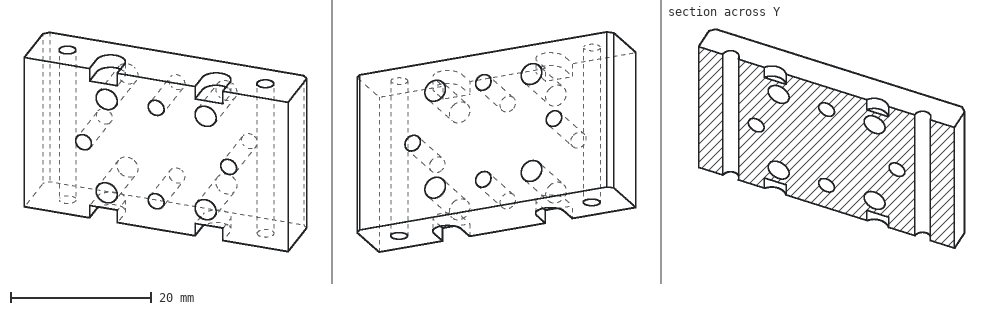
import cadquery as cq

length = 40.0
thickness = 8.5
height = 24.0
back_chamfer = 0.75

front_y = -thickness / 2
top_z = height / 2

large_hole_diameter = 3.2
small_hole_diameter = 2.4
large_hole_pitch = 15.0
small_hole_span_x = 22.0
small_hole_span_z = large_hole_pitch

edge_hole_pitch = 30.0

slot_pitch = 16.0
slot_width = 4.2
slot_reach = 5.1
slot_depth = 2.0


def make_block():
    """Plain block with its two upright back edges chamfered."""
    block = cq.Workplane("XY").box(length, thickness, height)
    return block.faces(">Y").edges("|Z").chamfer(back_chamfer)


def front_holes(diameter, points):
    """Cylinders along Y through the whole thickness, at (x, z) points."""
    plane = cq.Workplane("XZ").pushPoints(points)
    return plane.circle(diameter / 2).extrude(thickness, both=True)


def edge_holes():
    """Cylinders along Z through the whole height, at mid-thickness."""
    plane = cq.Workplane("XY").pushPoints([(-edge_hole_pitch / 2, 0), (edge_hole_pitch / 2, 0)])
    return plane.circle(small_hole_diameter / 2).extrude(height, both=True)


def edge_slot(center_x, floor_z):
    """Slot running back from the front face to a half-round end, rising from floor_z."""
    radius = slot_width / 2
    tip_y = front_y + slot_reach
    return (
        cq.Workplane("XY", origin=(center_x, 0, floor_z))
        .moveTo(-radius, front_y)
        .lineTo(-radius, tip_y - radius)
        .threePointArc((0, tip_y), (radius, tip_y - radius))
        .lineTo(radius, front_y)
        .close()
        .extrude(slot_depth)
    )


half_pitch = large_hole_pitch / 2
large_hole_points = [(x, z) for x in (-half_pitch, half_pitch) for z in (-half_pitch, half_pitch)]
small_hole_points = [
    (-small_hole_span_x / 2, 0),
    (small_hole_span_x / 2, 0),
    (0, -small_hole_span_z / 2),
    (0, small_hole_span_z / 2),
]

result = make_block()
result = result.cut(front_holes(large_hole_diameter, large_hole_points))
result = result.cut(front_holes(small_hole_diameter, small_hole_points))
result = result.cut(edge_holes())
for slot_x in (-slot_pitch / 2, slot_pitch / 2):
    for slot_floor_z in (top_z - slot_depth, -top_z):
        result = result.cut(edge_slot(slot_x, slot_floor_z))